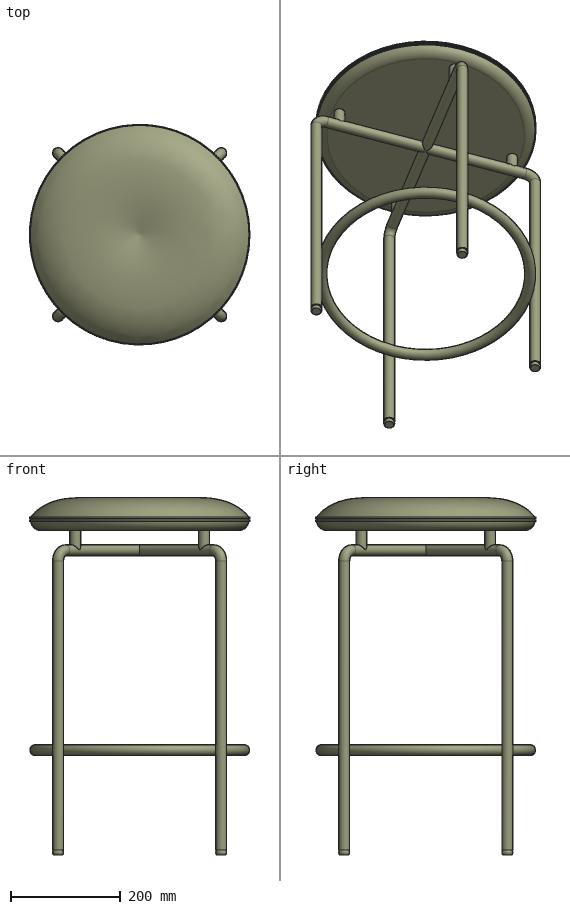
import cadquery as cq
import math

TOTAL_HEIGHT = 650.5
SEAT_DIAMETER = 401.5

SEAT_BOTTOM = 590.0
RIM_BOTTOM = 606.0
RIM_TOP = 615.0
LIP_HEIGHT = 2.5
RIM_GROOVE_DEPTH = 2.0
DOME_SHOULDER_RADIUS = 149.5
DOME_SHOULDER_DROP = 5.0
UNDERSIDE_RADIUS = 179.5
UNDERSIDE_BULGE = 3.0
RIM_STEP = 2.0
DOME_EDGE_SLOPE = 1.3
CREST_RADIUS = 97.5
DISH_DEPTH = 13.0
DISH_CENTRE_SLOPE = 0.2

TUBE_DIAMETER = 20.0
LEG_OFFSET = 148.5
BEAM_HEIGHT = 554.0
BEND_RADIUS = 19.5
POST_OFFSET = 117.0
FOOT_HEIGHT = 9.0
FOOT_DIAMETER = 16.0
RING_HEIGHT = 190.5
RING_OVERLAP = 0.3

TUBE_RADIUS = TUBE_DIAMETER / 2
LEG_RADIUS = LEG_OFFSET * math.sqrt(2)
POST_RADIUS = POST_OFFSET * math.sqrt(2)
RING_RADIUS = LEG_RADIUS - TUBE_DIAMETER + RING_OVERLAP
LEG_ANGLES = [45, 135, 225, 315]


def make_seat():
    """Revolve a cushion with a dished top and a rim of two lips with a groove between them."""
    rim_radius = SEAT_DIAMETER / 2
    groove_radius = rim_radius - RIM_GROOVE_DEPTH
    seam_radius = rim_radius - RIM_STEP
    underside_middle = (
        (UNDERSIDE_RADIUS + seam_radius) / 2 + UNDERSIDE_BULGE,
        (SEAT_BOTTOM + RIM_BOTTOM) / 2 - UNDERSIDE_BULGE,
    )
    profile = (
        cq.Workplane("XZ")
        .moveTo(0, SEAT_BOTTOM)
        .lineTo(UNDERSIDE_RADIUS, SEAT_BOTTOM)
        .threePointArc(underside_middle, (seam_radius, RIM_BOTTOM))
        .lineTo(rim_radius, RIM_BOTTOM)
        .lineTo(rim_radius, RIM_BOTTOM + LIP_HEIGHT)
        .lineTo(groove_radius, RIM_BOTTOM + LIP_HEIGHT)
        .lineTo(groove_radius, RIM_TOP - LIP_HEIGHT)
        .lineTo(rim_radius, RIM_TOP - LIP_HEIGHT)
        .lineTo(rim_radius, RIM_TOP)
        .lineTo(seam_radius, RIM_TOP)
        .spline(
            [
                (DOME_SHOULDER_RADIUS, TOTAL_HEIGHT - DOME_SHOULDER_DROP),
                (CREST_RADIUS, TOTAL_HEIGHT),
                (0, TOTAL_HEIGHT - DISH_DEPTH),
            ],
            tangents=[(-1, DOME_EDGE_SLOPE), None, (-1, 0), (-1, -DISH_CENTRE_SLOPE)],
            includeCurrent=True,
        )
        .close()
    )
    return profile.revolve(360, (0, 0, 0), (0, 1, 0))


def make_foot():
    """Rounded glide that bulges out to the tube diameter at mid height."""
    foot_radius = FOOT_DIAMETER / 2
    return (
        cq.Workplane("XZ")
        .lineTo(foot_radius, 0)
        .threePointArc((TUBE_RADIUS, FOOT_HEIGHT / 2), (foot_radius, FOOT_HEIGHT))
        .lineTo(0, FOOT_HEIGHT)
        .close()
        .revolve(360, (0, 0, 0), (0, 1, 0))
        .translate((LEG_RADIUS, 0, 0))
    )


def make_leg():
    """Sweep a leg that rises from its foot and bends inward to the centre."""
    path = (
        cq.Workplane("XZ")
        .moveTo(LEG_RADIUS, FOOT_HEIGHT)
        .lineTo(LEG_RADIUS, BEAM_HEIGHT - BEND_RADIUS)
        .radiusArc((LEG_RADIUS - BEND_RADIUS, BEAM_HEIGHT), -BEND_RADIUS)
        .lineTo(0, BEAM_HEIGHT)
    )
    tube = cq.Workplane("XY", origin=(LEG_RADIUS, 0, FOOT_HEIGHT)).circle(TUBE_RADIUS).sweep(path)
    return tube.union(make_foot())


def make_post():
    """Upright tube that carries the seat on a beam."""
    return (
        cq.Workplane("XY", origin=(POST_RADIUS, 0, BEAM_HEIGHT))
        .circle(TUBE_RADIUS)
        .extrude(SEAT_BOTTOM - BEAM_HEIGHT)
    )


def make_frame():
    """Join four legs, their posts and the foot ring into one welded frame."""
    frame = cq.Workplane(cq.Solid.makeTorus(RING_RADIUS, TUBE_RADIUS, cq.Vector(0, 0, RING_HEIGHT)))
    leg_with_post = make_leg().union(make_post())
    for angle in LEG_ANGLES:
        frame = frame.union(leg_with_post.rotate((0, 0, 0), (0, 0, 1), angle))
    return frame


seat = make_seat()
frame = make_frame()
result = cq.Compound.makeCompound([seat.val(), *frame.vals()])